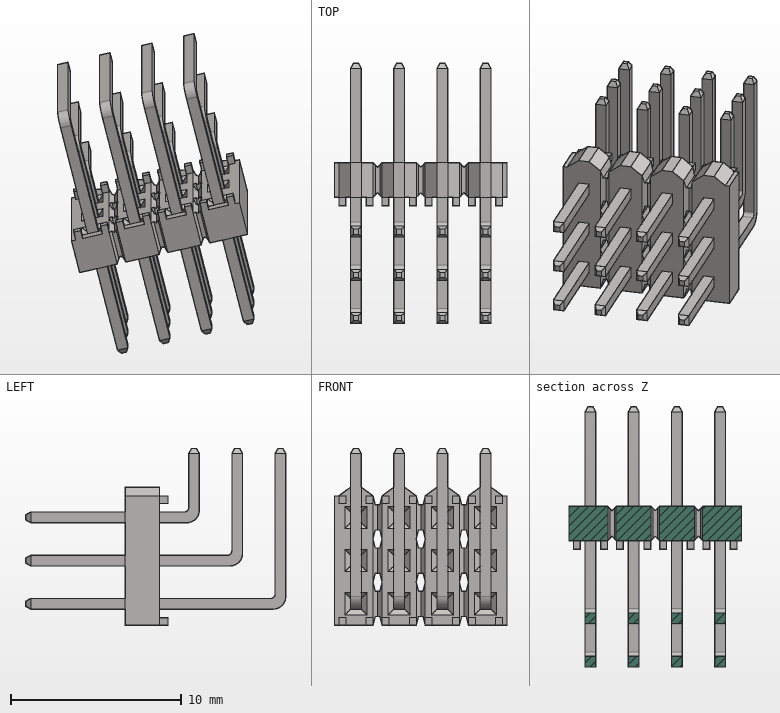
import cadquery as cq

PITCH = 2.54
COLUMNS = 4
ROWS = 3
PIN = 0.65
TOTAL_DEPTH = 15.3
TOTAL_HEIGHT = 10.4

BODY_DEPTH = 2.03
MATING_LENGTH = 5.85
CROWN_HEIGHT = 0.5
GROOVE = 0.26
WINDOW_HALF_HEIGHT = 0.52
WINDOW_HALF_FLAT = 0.13
POCKET = 1.3
POCKET_DEPTH = 0.25
NUB_WIDTH = 0.41
NUB_HEIGHT = 0.46
NUB_LENGTH = 0.5

TIP_LENGTH = 0.3
TIP_WIDTH = 0.3
INNER_BEND = 0.25
OUTER_BEND = 0.75

body_width = COLUMNS * PITCH
body_height = ROWS * PITCH
body_back = TOTAL_DEPTH - MATING_LENGTH
body_front = body_back - BODY_DEPTH
crown_half_width = PITCH / 2 - GROOVE
column_centres = [(i + 0.5) * PITCH for i in range(COLUMNS)]
row_heights = [(i + 0.5) * PITCH for i in range(ROWS)]
column_joints = [i * PITCH for i in range(1, COLUMNS)]


def box(x, y, z, width, depth, height):
    """Box with its lowest corner at (x, y, z)."""
    return cq.Workplane("XY").box(width, depth, height, centered=False).translate((x, y, z))


def extrude_through_body(outline):
    """Extrude an XZ outline over the whole depth of the body."""
    sketch = cq.Workplane("XZ", origin=(0, body_back, 0))
    return sketch.polyline(outline).close().extrude(BODY_DEPTH)


def crown(x):
    """Sloped roof over one column."""
    top = body_height + CROWN_HEIGHT
    return extrude_through_body([
        (x - crown_half_width, body_height),
        (x - PIN / 2, top),
        (x + PIN / 2, top),
        (x + crown_half_width, body_height),
    ])


def groove(x, face_y, inward):
    """Vertical V groove cut into one body face; inward is +1 or -1 along Y."""
    sketch = cq.Workplane("XY").polyline([
        (x - GROOVE, face_y),
        (x, face_y + inward * GROOVE),
        (x + GROOVE, face_y),
    ])
    return sketch.close().extrude(body_height)


def window(x, z):
    """Tall hexagonal opening through the web between two columns."""
    return extrude_through_body([
        (x - GROOVE, z),
        (x - WINDOW_HALF_FLAT, z + WINDOW_HALF_HEIGHT),
        (x + WINDOW_HALF_FLAT, z + WINDOW_HALF_HEIGHT),
        (x + GROOVE, z),
        (x + WINDOW_HALF_FLAT, z - WINDOW_HALF_HEIGHT),
        (x - WINDOW_HALF_FLAT, z - WINDOW_HALF_HEIGHT),
    ])


def pocket(x, z):
    """Pyramidal recess that narrows from the front face down to the pin."""
    mouth = cq.Workplane("XZ", origin=(x, body_front, z)).rect(POCKET, POCKET)
    return mouth.workplane(offset=-POCKET_DEPTH).rect(PIN, PIN).loft(ruled=True)


def nubs(x):
    """Four standoff nubs at the corners of one column's front face."""
    left = x - crown_half_width
    right = x + crown_half_width - NUB_WIDTH
    top = body_height - NUB_HEIGHT
    corners = [(left, 0), (right, 0), (left, top), (right, top)]
    return [
        box(corner_x, body_front - NUB_LENGTH, corner_z, NUB_WIDTH, NUB_LENGTH, NUB_HEIGHT)
        for corner_x, corner_z in corners
    ]


def tip(base):
    """Truncated pyramid that ends a pin, standing on the given plane."""
    foot = cq.Workplane(base).rect(PIN, PIN)
    return foot.workplane(offset=TIP_LENGTH).rect(TIP_WIDTH, TIP_WIDTH).loft(ruled=True)


def pin(x, row):
    """Right-angle pin: straight run along Y, bend, then a leg up to the solder tip."""
    z = row_heights[row]
    half = PIN / 2
    leg_y = half + row * PITCH
    shoulder_y = TOTAL_DEPTH - TIP_LENGTH
    shoulder_z = TOTAL_HEIGHT - TIP_LENGTH

    wire = (
        cq.Workplane("YZ", origin=(x - half, 0, 0))
        .moveTo(shoulder_y, z - half)
        .lineTo(leg_y - half + OUTER_BEND, z - half)
        .radiusArc((leg_y - half, z - half + OUTER_BEND), OUTER_BEND)
        .lineTo(leg_y - half, shoulder_z)
        .lineTo(leg_y + half, shoulder_z)
        .lineTo(leg_y + half, z + half + INNER_BEND)
        .radiusArc((leg_y + half + INNER_BEND, z + half), -INNER_BEND)
        .lineTo(shoulder_y, z + half)
        .close()
        .extrude(PIN)
    )
    solder_tip = tip(cq.Plane((x, leg_y, shoulder_z), (1, 0, 0), (0, 0, 1)))
    mating_tip = tip(cq.Plane((x, shoulder_y, z), (1, 0, 0), (0, 1, 0)))
    return wire.union(solder_tip).union(mating_tip)


result = box(0, body_front, 0, body_width, BODY_DEPTH, body_height)
for x in column_centres:
    result = result.union(crown(x))
    for nub in nubs(x):
        result = result.union(nub)

for x in column_joints:
    result = result.cut(groove(x, body_front, 1)).cut(groove(x, body_back, -1))
    for level in range(ROWS + 1):
        result = result.cut(window(x, level * PITCH))

for x in column_centres:
    for row in range(ROWS):
        result = result.cut(pocket(x, row_heights[row]))
        result = result.union(pin(x, row))